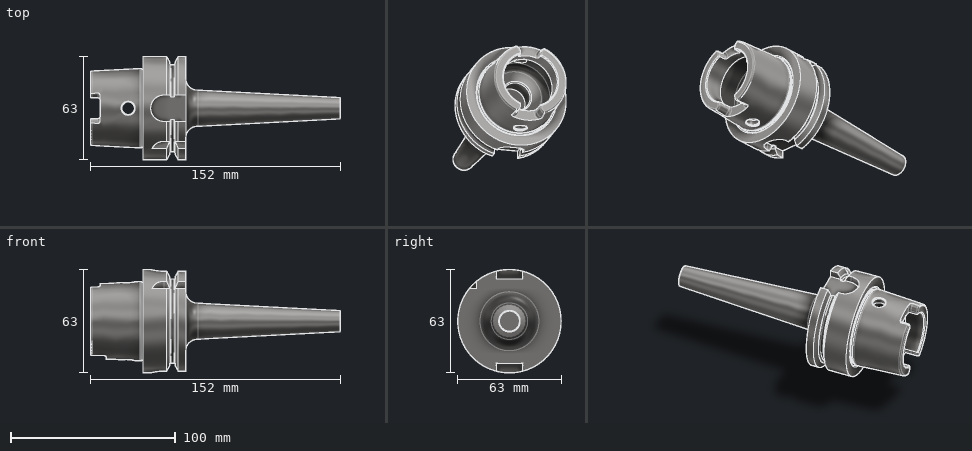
import cadquery as cq
import math


total_length = 152.0
flange_radius = 31.5

taper_start_radius = 22.6
taper_end_radius = 24.2
taper_end_x = 29.8
relief_land_end_x = 30.7
relief_neck_radius = 23.5
relief_outer_radius = 25.4
relief_depth = 0.8
mouth_edge_radius = 0.9

flange_start_x = 31.9
flange_end_x = 58.0
groove_start_x = 46.4
groove_end_x = 53.4
groove_bottom_radius = 26.6
groove_shoulder_radius = 28.1
groove_wall_angle = 30
groove_corner_radius = 0.8

tip_radius = 6.5
tip_chamfer = 0.5
shank_angle = math.radians(3)
shank_root_radius = 6.8

bore_radius = 17.0
bore_mouth_chamfer = 0.6
bore_end_x = 12.5
cavity_radius = 19.9
cavity_end_x = 31.9
cavity_corner_radius = 4.1
centre_hole_radius = 8.8
centre_hole_chamfer = 0.8
centre_hole_depth = 12.2

cross_hole_x = 23.0
cross_hole_radius = 3.8
cross_hole_chamfer = 0.5

keyway_half_width = 6.2
keyway_top_z = 21.0
keyway_edge_radius = 3.6
keyway_floor_radius = 1.4
upper_keyway_depth = 6.0
lower_keyway_depth = 9.5

slot_width = 16.0
slot_end_x = 36.6
slot_floor_z = 25.7
notch_floor_z = 19.9
notch_wall_y = -20.0

clearance = 7.6


def turned_body():
    """Outer contour of taper, flange, gripper groove and shank."""
    groove_run = (flange_radius - groove_shoulder_radius) * math.tan(math.radians(groove_wall_angle))
    groove_left_x = groove_start_x + groove_run
    groove_right_x = groove_end_x - groove_run
    relief_bottom_x = flange_start_x + relief_depth

    arc_centre_x = flange_end_x + shank_root_radius
    root_x = arc_centre_x + shank_root_radius * math.sin(shank_angle)
    root_radius = tip_radius + (total_length - root_x) * math.tan(shank_angle)
    arc_centre_radius = root_radius + shank_root_radius * math.cos(shank_angle)
    arc_middle_angle = (math.pi / 2 - shank_angle) / 2
    arc_middle = (
        arc_centre_x - shank_root_radius * math.cos(arc_middle_angle),
        arc_centre_radius - shank_root_radius * math.sin(arc_middle_angle),
    )
    tip_chamfer_start = tip_radius + tip_chamfer * math.tan(shank_angle)

    profile = (
        cq.Workplane("XY")
        .moveTo(0, 0)
        .lineTo(0, taper_start_radius)
        .lineTo(taper_end_x, taper_end_radius)
        .lineTo(relief_land_end_x, taper_end_radius)
        .lineTo(flange_start_x, relief_neck_radius)
        .lineTo(relief_bottom_x, relief_neck_radius)
        .lineTo(relief_bottom_x, relief_outer_radius - relief_depth)
        .lineTo(flange_start_x, relief_outer_radius)
        .lineTo(flange_start_x, flange_radius)
        .lineTo(groove_start_x, flange_radius)
        .lineTo(groove_left_x, groove_shoulder_radius)
        .lineTo(groove_left_x, groove_bottom_radius + groove_corner_radius)
        .radiusArc((groove_left_x + groove_corner_radius, groove_bottom_radius), -groove_corner_radius)
        .lineTo(groove_right_x - groove_corner_radius, groove_bottom_radius)
        .radiusArc((groove_right_x, groove_bottom_radius + groove_corner_radius), -groove_corner_radius)
        .lineTo(groove_right_x, groove_shoulder_radius)
        .lineTo(groove_end_x, flange_radius)
        .lineTo(flange_end_x, flange_radius)
        .lineTo(flange_end_x, arc_centre_radius)
        .threePointArc(arc_middle, (root_x, root_radius))
        .lineTo(total_length - tip_chamfer, tip_chamfer_start)
        .lineTo(total_length, tip_radius - tip_chamfer)
        .lineTo(total_length, 0)
        .close()
    )
    return profile.revolve(360, (0, 0, 0), (1, 0, 0))


def cavity():
    """Clamping bore, wider chamber behind it and blind centre hole."""
    hole_mouth_radius = centre_hole_radius + centre_hole_chamfer
    hole_end_x = cavity_end_x + centre_hole_depth
    profile = (
        cq.Workplane("XY")
        .moveTo(0, 0)
        .lineTo(0, bore_radius + bore_mouth_chamfer)
        .lineTo(bore_mouth_chamfer, bore_radius)
        .lineTo(bore_end_x, bore_radius)
        .lineTo(bore_end_x, cavity_radius)
        .lineTo(cavity_end_x - cavity_corner_radius, cavity_radius)
        .radiusArc((cavity_end_x, cavity_radius - cavity_corner_radius), cavity_corner_radius)
        .lineTo(cavity_end_x, hole_mouth_radius)
        .lineTo(cavity_end_x + centre_hole_chamfer, centre_hole_radius)
        .lineTo(hole_end_x, centre_hole_radius)
        .lineTo(hole_end_x, 0)
        .close()
    )
    return profile.revolve(360, (0, 0, 0), (1, 0, 0))


def cross_hole():
    """Hole along Z through both taper walls, flared where it leaves the taper."""
    outer_radius = taper_start_radius + (taper_end_radius - taper_start_radius) * cross_hole_x / taper_end_x
    flare_radius = cross_hole_radius + cross_hole_chamfer
    profile = (
        cq.Workplane("XZ")
        .moveTo(0, 0)
        .lineTo(cross_hole_radius, 0)
        .lineTo(cross_hole_radius, outer_radius - 2 * cross_hole_chamfer)
        .lineTo(flare_radius, outer_radius - cross_hole_chamfer)
        .lineTo(flare_radius, outer_radius + clearance)
        .lineTo(0, outer_radius + clearance)
        .close()
    )
    half = profile.revolve(360, (0, 0, 0), (0, 1, 0))
    return half.union(half.mirror("XY")).translate((cross_hole_x, 0, 0))


def keyway(depth):
    """Upper keyway cutter: straight walls that round outward, filleted along the floor."""
    rounding_z = keyway_top_z - keyway_edge_radius
    half_top = keyway_half_width + keyway_edge_radius
    half_reach = half_top + clearance
    reach_z = keyway_top_z + clearance
    base_z = bore_radius / 2
    cutter = (
        cq.Workplane("YZ", origin=(-clearance, 0, 0))
        .moveTo(-keyway_half_width, base_z)
        .lineTo(keyway_half_width, base_z)
        .lineTo(keyway_half_width, rounding_z)
        .radiusArc((half_top, keyway_top_z), keyway_edge_radius)
        .lineTo(half_reach, keyway_top_z)
        .lineTo(half_reach, reach_z)
        .lineTo(-half_reach, reach_z)
        .lineTo(-half_reach, keyway_top_z)
        .lineTo(-half_top, keyway_top_z)
        .radiusArc((-keyway_half_width, rounding_z), keyway_edge_radius)
        .close()
        .extrude(clearance + depth)
    )
    return cutter.faces(">X").edges().fillet(keyway_floor_radius)


def end_mill_slot(centre_y, floor_z):
    """Round-ended slot along X, open at the shank side of the flange and above its floor."""
    mill_centre_x = slot_end_x + slot_width / 2
    run = flange_end_x - mill_centre_x
    height = flange_radius + clearance - floor_z
    mill = cq.Workplane("XY", origin=(mill_centre_x, centre_y, floor_z)).circle(slot_width / 2).extrude(height)
    channel = (
        cq.Workplane("XY", origin=(mill_centre_x + run / 2, centre_y, floor_z))
        .rect(run, slot_width)
        .extrude(height)
    )
    return mill.union(channel)


body = turned_body()
body = body.cut(keyway(upper_keyway_depth))
body = body.cut(keyway(lower_keyway_depth).mirror("XY"))
body = body.faces("<X").edges().fillet(mouth_edge_radius)
body = body.cut(cavity()).cut(cross_hole())

drive_slot = end_mill_slot(0, slot_floor_z)
body = body.cut(drive_slot).cut(drive_slot.mirror("XY"))
body = body.cut(end_mill_slot(notch_wall_y - slot_width / 2, notch_floor_z))

result = body